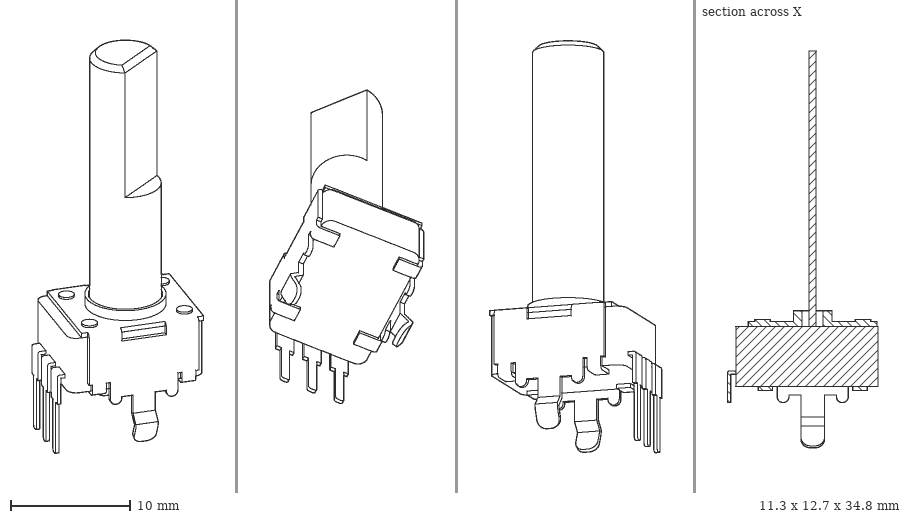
import cadquery as cq


OVERALL_HEIGHT = 34.75

SHEET = 0.4
PLATE_LENGTH = 10.8
WALL_LENGTH = 9.73
WALL_SHOULDER_Z = -4.73
WALL_BOTTOM_Z = -6.2
FOLD_GAP_LENGTH = 3.93
FOLD_GAP_BOTTOM_Z = -1.05
COLLAR_RADIUS = 3.4
COLLAR_HEIGHT = 0.9
SHAFT_CLEARANCE = 0.1
BUMP_RADIUS = 0.65
BUMP_HEIGHT = 0.17
BUMP_X = 3.0
BUMP_Y = 4.2

FOOT_OUTER_Y = 3.0
FOOT_WIDTH = 1.0
FOOT_BOTTOM_Z = -6.8
CLAMP_CENTER_Y = 3.95
CLAMP_WIDTH = 1.2
CLAMP_REACH = 1.75
CLAMP_THICKNESS = 0.35
LEG_WIDTH = 1.98
LEG_CORNER_RADIUS = 0.8
LEG_BEND_OUTER_Z = -7.85
LEG_TIP_X = 5.63
LEG_TIP_TOP_Z = -8.6
LEG_TIP_BOTTOM_Z = -8.83
LEG_TIP_BEVEL_X = 5.55
LEG_TIP_BEVEL_Z = -9.07
LEG_END_OUTER_X = 4.83
LEG_END_OUTER_Z = -10.6
LEG_KINK_INNER_X = 5.25
LEG_KINK_INNER_Z = -8.75
LEG_END_INNER_X = 4.45
LEG_END_INNER_Z = -10.42
LEG_BEND_INNER_Z = -8.0

HOUSING_WIDTH = 8.93
HOUSING_BACK_Y = 5.5
HOUSING_FRONT_Y = -6.45
HOUSING_HEIGHT = 5.05
HOUSING_CORNER_RADIUS = 0.87

SHAFT_DIAMETER = 6.0
SHAFT_TOP_Z = 23.15
SHAFT_FLAT_OFFSET = 1.53
SHAFT_FLAT_LENGTH = 12.0
SHAFT_FLAT_ANGLE = 40
SHAFT_CHAMFER = 0.5

TERMINAL_PITCH = 2.5
TERMINAL_COUNT = 3
TERMINAL_THICKNESS = 0.3
TERMINAL_TOP_Z = -4.15
TERMINAL_FRONT_Y = -7.15
TERMINAL_HEAD_WIDTH = 1.6
TERMINAL_HEAD_BOTTOM_Z = -6.8
TERMINAL_PIN_WIDTH = 0.75
TERMINAL_BOTTOM_Z = SHAFT_TOP_Z - OVERALL_HEIGHT
TERMINAL_TIP_RADIUS = 0.28
TERMINAL_BEND_RADIUS = 0.2

SHAFT_RADIUS = SHAFT_DIAMETER / 2
WALL_INNER_X = HOUSING_WIDTH / 2
WALL_OUTER_X = WALL_INNER_X + SHEET
HOUSING_TOP_Z = -SHEET
HOUSING_BOTTOM_Z = HOUSING_TOP_Z - HOUSING_HEIGHT
CLAMP_BOTTOM_Z = HOUSING_BOTTOM_Z - CLAMP_THICKNESS


def block(x_range, y_range, z_range):
    """Axis-aligned box given by its limits."""
    size = [high - low for low, high in (x_range, y_range, z_range)]
    corner = (x_range[0], y_range[0], z_range[0])
    return cq.Workplane("XY").box(*size, centered=False).translate(corner)


def make_housing():
    length = HOUSING_BACK_Y - HOUSING_FRONT_Y
    return (
        cq.Workplane("XY", origin=(0, (HOUSING_BACK_Y + HOUSING_FRONT_Y) / 2, HOUSING_BOTTOM_Z))
        .rect(HOUSING_WIDTH, length)
        .extrude(HOUSING_HEIGHT)
        .edges("|Z")
        .fillet(HOUSING_CORNER_RADIUS)
    )


def make_shaft():
    """Shaft with a D-cut top; modelled with the flat facing -X, then turned."""
    shaft = cq.Workplane("XY", origin=(0, 0, -SHEET)).circle(SHAFT_RADIUS).extrude(SHAFT_TOP_Z + SHEET)
    flat_cut = block(
        (-2 * SHAFT_RADIUS, -SHAFT_FLAT_OFFSET),
        (-SHAFT_RADIUS, SHAFT_RADIUS),
        (SHAFT_TOP_Z - SHAFT_FLAT_LENGTH, SHAFT_TOP_Z),
    )
    shaft = shaft.cut(flat_cut).faces(">Z").edges().chamfer(SHAFT_CHAMFER)
    return shaft.rotate((0, 0, 0), (0, 0, 1), 180 + SHAFT_FLAT_ANGLE)


def make_wall():
    """Right-hand (+X) cover wall with its fold, feet and clamp tabs, without the leg."""
    wall_x = (WALL_INNER_X, WALL_OUTER_X)
    half_length = WALL_LENGTH / 2
    wall = (
        cq.Workplane("XZ")
        .moveTo(WALL_INNER_X, WALL_SHOULDER_Z)
        .lineTo(WALL_INNER_X, 0)
        .radiusArc((WALL_OUTER_X, -SHEET), SHEET)
        .lineTo(WALL_OUTER_X, WALL_SHOULDER_Z)
        .close()
        .extrude(half_length, both=True)
    )
    half_gap = FOLD_GAP_LENGTH / 2
    wall = wall.cut(block(wall_x, (-half_gap, half_gap), (FOLD_GAP_BOTTOM_Z, 0)))
    wall = wall.union(block(wall_x, (-FOOT_OUTER_Y, FOOT_OUTER_Y), (WALL_BOTTOM_Z, WALL_SHOULDER_Z)))
    for side in (-1, 1):
        wall = wall.union(make_foot(side)).union(make_clamp(side))
    return wall


def make_foot(side):
    """Round-ended foot below the wall, on the given side of Y = 0."""
    radius = FOOT_WIDTH / 2
    center_y = side * (FOOT_OUTER_Y - radius)
    arc_z = FOOT_BOTTOM_Z + radius
    return (
        cq.Workplane("YZ", origin=(WALL_INNER_X, center_y, 0))
        .moveTo(-radius, WALL_BOTTOM_Z)
        .lineTo(-radius, arc_z)
        .threePointArc((0, FOOT_BOTTOM_Z), (radius, arc_z))
        .lineTo(radius, WALL_BOTTOM_Z)
        .close()
        .extrude(SHEET)
    )


def make_clamp(side):
    """Tab that runs down the wall and folds inward under the housing."""
    center_y = side * CLAMP_CENTER_Y
    return (
        cq.Workplane("XZ", origin=(0, center_y, 0))
        .moveTo(WALL_INNER_X, WALL_SHOULDER_Z)
        .lineTo(WALL_INNER_X, HOUSING_BOTTOM_Z)
        .lineTo(WALL_INNER_X - CLAMP_REACH, HOUSING_BOTTOM_Z)
        .lineTo(WALL_INNER_X - CLAMP_REACH, CLAMP_BOTTOM_Z)
        .lineTo(WALL_INNER_X, CLAMP_BOTTOM_Z)
        .radiusArc((WALL_OUTER_X, CLAMP_BOTTOM_Z + SHEET), -SHEET)
        .lineTo(WALL_OUTER_X, WALL_SHOULDER_Z)
        .close()
        .extrude(CLAMP_WIDTH / 2, both=True)
    )


def make_leg():
    """Snap-in leg of the +X wall: kinked outward, then back inward to a rounded end."""
    leg = (
        cq.Workplane("XZ")
        .polyline(
            [
                (WALL_OUTER_X, WALL_BOTTOM_Z),
                (WALL_OUTER_X, LEG_BEND_OUTER_Z),
                (LEG_TIP_X, LEG_TIP_TOP_Z),
                (LEG_TIP_X, LEG_TIP_BOTTOM_Z),
                (LEG_TIP_BEVEL_X, LEG_TIP_BEVEL_Z),
                (LEG_END_OUTER_X, LEG_END_OUTER_Z),
                (LEG_END_INNER_X, LEG_END_INNER_Z),
                (LEG_KINK_INNER_X, LEG_KINK_INNER_Z),
                (WALL_INNER_X, LEG_BEND_INNER_Z),
                (WALL_INNER_X, WALL_BOTTOM_Z),
            ]
        )
        .close()
        .extrude(LEG_WIDTH / 2, both=True)
    )
    return leg.faces("<Z").edges("not |Y").fillet(LEG_CORNER_RADIUS)


def make_cover():
    """Sheet-metal cover with its collar, bumps, walls and legs."""
    cover = block(
        (-WALL_INNER_X, WALL_INNER_X),
        (-PLATE_LENGTH / 2, PLATE_LENGTH / 2),
        (-SHEET, 0),
    )
    collar = cq.Workplane("XY").circle(COLLAR_RADIUS).extrude(COLLAR_HEIGHT)
    bumps = cq.Workplane("XY").rect(2 * BUMP_X, 2 * BUMP_Y, forConstruction=True).vertices()
    cover = cover.union(collar).union(bumps.circle(BUMP_RADIUS).extrude(BUMP_HEIGHT))

    right_side = make_wall().union(make_leg())
    cover = cover.union(right_side).union(right_side.mirror("YZ"))

    shaft_hole = (
        cq.Workplane("XY", origin=(0, 0, -SHEET))
        .circle(SHAFT_RADIUS + SHAFT_CLEARANCE)
        .extrude(SHEET + COLLAR_HEIGHT)
    )
    return cover.cut(shaft_hole)


def make_terminal(center_x):
    """Bent terminal: a wide head standing off the housing front, and a narrow pin below."""
    head = block(
        (-TERMINAL_HEAD_WIDTH / 2, TERMINAL_HEAD_WIDTH / 2),
        (TERMINAL_FRONT_Y, HOUSING_FRONT_Y),
        (TERMINAL_HEAD_BOTTOM_Z, TERMINAL_TOP_Z),
    )
    head = head.edges("<Y and >Z").fillet(TERMINAL_BEND_RADIUS)
    back_y = TERMINAL_FRONT_Y + TERMINAL_THICKNESS
    space_behind_head = block(
        (-TERMINAL_HEAD_WIDTH / 2, TERMINAL_HEAD_WIDTH / 2),
        (back_y, HOUSING_FRONT_Y),
        (TERMINAL_HEAD_BOTTOM_Z, TERMINAL_TOP_Z - TERMINAL_THICKNESS),
    )
    pin = block(
        (-TERMINAL_PIN_WIDTH / 2, TERMINAL_PIN_WIDTH / 2),
        (TERMINAL_FRONT_Y, back_y),
        (TERMINAL_BOTTOM_Z, TERMINAL_HEAD_BOTTOM_Z),
    )
    pin = pin.faces("<Z").edges("|Y").fillet(TERMINAL_TIP_RADIUS)
    return head.cut(space_behind_head).union(pin).translate((center_x, 0, 0))


housing = make_housing()
cover = make_cover()
shaft = make_shaft()
terminals = [
    make_terminal((index - (TERMINAL_COUNT - 1) / 2) * TERMINAL_PITCH)
    for index in range(TERMINAL_COUNT)
]

result = cq.Compound.makeCompound(
    [housing.val(), cover.val(), shaft.val(), *[terminal.val() for terminal in terminals]]
)